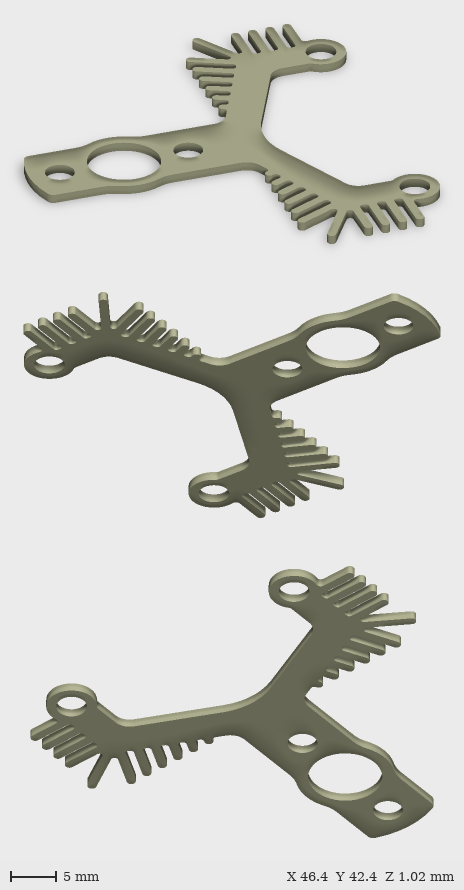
import cadquery as cq
import math

THICKNESS = 1.02
TOTAL_WIDTH = 46.39
TOTAL_LENGTH = 42.37

BORE_DIAMETER = 8.2
RING_DIAMETER = 11.0
STEM_WIDTH = 9.1
SCREW_HOLE_DIAMETER = 3.3
SCREW_HOLE_OFFSET = 7.5
STEM_END_FILLET = 0.8
RING_BLEND_RADIUS = 4.0

EYELET_X = 15.8
EYELET_Y = 28.5
EYELET_DIAMETER = 5.6
EYELET_HOLE_DIAMETER = 3.4
EYELET_FILLET = 0.5

ARM_WIDTH = 4.0
ARM_OUTER_X = 17.75
ARM_SLOPE = math.radians(25)
ARM_ELBOW_Y = 19.49
ELBOW_FILLET = 2.0
CROTCH_FILLET = 8.0
STEM_ARM_FILLET = 2.0

FINGER_WIDTH = 1.0
FINGER_PITCH = 2.0
FINGER_ROOT_FILLET = 0.4
SIDE_FINGER_COUNT = 4
SIDE_FINGER_TIP_X = 22.85
TOP_SIDE_FINGER_Y = 26.8
LOWER_FINGER_COUNT = 6
LOWER_FINGER_END_Y = 13.79
FIRST_LOWER_FINGER_TIP_X = 18.83
ELBOW_FINGER_ANGLE = math.radians(32)

POINT_TOLERANCE = 0.01

finger_radius = FINGER_WIDTH / 2
stem_half_width = STEM_WIDTH / 2
arm_inner_x = ARM_OUTER_X - ARM_WIDTH
stem_end_radius = TOTAL_LENGTH - EYELET_Y - EYELET_DIAMETER / 2
lower_tip_y = LOWER_FINGER_END_Y + finger_radius


def arm_lower_y(x):
    """Height of the sloping arm's lower edge on the left side (x <= 0)."""
    return ARM_ELBOW_Y - (x + ARM_OUTER_X) * math.tan(ARM_SLOPE)


def arm_upper_y(x):
    """Height of the sloping arm's upper edge on the left side (x <= 0)."""
    return arm_lower_y(x) + ARM_WIDTH / math.cos(ARM_SLOPE)


def tip_to_arm(tip_x):
    """Distance from a lower finger's tip centre to the sloping arm's lower edge."""
    return (arm_lower_y(tip_x) - lower_tip_y) * math.cos(ARM_SLOPE)


def disc(x, y, diameter):
    return cq.Workplane("XY").center(x, y).circle(diameter / 2).extrude(THICKNESS)


def finger(tip, root):
    """Straight finger with a round tip; both points lie on its centre line."""
    dx = root[0] - tip[0]
    dy = root[1] - tip[1]
    length = math.hypot(dx, dy)
    bar = (
        cq.Workplane("XY")
        .rect(length, FINGER_WIDTH)
        .extrude(THICKNESS)
        .translate((length / 2, 0, 0))
        .union(disc(0, 0, FINGER_WIDTH))
    )
    angle = math.degrees(math.atan2(dy, dx))
    return bar.rotate((0, 0, 0), (0, 0, 1), angle).translate((tip[0], tip[1], 0))


def fillet_corners(body, radius, is_corner):
    """Round the upright edges whose x, y position satisfies is_corner."""
    corners = body.edges("|Z").filter(lambda edge: is_corner(edge.Center().x, edge.Center().y))
    return corners.fillet(radius)


def arm_blank():
    """Left arm without fingers, reaching from the eyelet to the centre plane.

    The outer elbow is cut off between the roots of the two fingers beside the elbow
    finger, so that the notches there end where the finger sides meet.
    """
    last_side_finger_y = TOP_SIDE_FINGER_Y - (SIDE_FINGER_COUNT - 1) * FINGER_PITCH
    first_tip_x = -FIRST_LOWER_FINGER_TIP_X
    first_lower_root_x = first_tip_x + tip_to_arm(first_tip_x) * math.sin(ARM_SLOPE)
    bar = (
        cq.Workplane("XY")
        .polyline([
            (-ARM_OUTER_X, EYELET_Y),
            (-arm_inner_x, EYELET_Y),
            (-arm_inner_x, arm_upper_y(-arm_inner_x)),
            (0, arm_upper_y(0)),
            (0, arm_lower_y(0)),
            (first_lower_root_x, arm_lower_y(first_lower_root_x)),
            (-ARM_OUTER_X, last_side_finger_y + finger_radius),
        ])
        .close()
        .extrude(THICKNESS)
    )
    return bar.union(disc(-EYELET_X, EYELET_Y, EYELET_DIAMETER))


def add_side_fingers(arm):
    root_x = -ARM_OUTER_X + FINGER_WIDTH
    for index in range(SIDE_FINGER_COUNT):
        y = TOP_SIDE_FINGER_Y - index * FINGER_PITCH
        tip = (-SIDE_FINGER_TIP_X + finger_radius, y)
        arm = arm.union(finger(tip, (root_x, y)))
    return arm


def add_elbow_finger(arm):
    tip_x = -TOTAL_WIDTH / 2 + finger_radius
    tip_y = ARM_ELBOW_Y - (-ARM_OUTER_X - tip_x) * math.tan(ELBOW_FINGER_ANGLE)
    root_x = -ARM_OUTER_X + FINGER_WIDTH
    root_y = ARM_ELBOW_Y + FINGER_WIDTH * math.tan(ELBOW_FINGER_ANGLE)
    return arm.union(finger((tip_x, tip_y), (root_x, root_y)))


def add_lower_fingers(arm):
    """Fingers square to the sloping arm, with their tips on one level."""
    tip_spacing = FINGER_PITCH / math.cos(ARM_SLOPE)
    for index in range(LOWER_FINGER_COUNT):
        tip_x = -FIRST_LOWER_FINGER_TIP_X + index * tip_spacing
        length = tip_to_arm(tip_x) + FINGER_WIDTH
        root_x = tip_x + length * math.sin(ARM_SLOPE)
        root_y = lower_tip_y + length * math.cos(ARM_SLOPE)
        arm = arm.union(finger((tip_x, lower_tip_y), (root_x, root_y)))
    return arm


def is_finger_root(x, y):
    """True on the two arm edges that carry fingers, away from the arm's ends."""
    on_side = abs(x + ARM_OUTER_X) < POINT_TOLERANCE and y < TOP_SIDE_FINGER_Y
    on_slope = abs(y - arm_lower_y(x)) < POINT_TOLERANCE and x < -stem_half_width
    return on_side or on_slope


def is_elbow_notch(x, y):
    """True at the inner ends of the two notches beside the elbow finger."""
    near_elbow = math.hypot(x + ARM_OUTER_X, y - ARM_ELBOW_Y) < FINGER_WIDTH
    return near_elbow and not is_finger_root(x, y)


def is_eyelet_junction(x, y):
    """True where the eyelet rim meets the arm and the top finger."""
    on_rim = abs(math.hypot(x + EYELET_X, y - EYELET_Y) - EYELET_DIAMETER / 2) < POINT_TOLERANCE
    return on_rim and y < EYELET_Y - finger_radius


def is_inner_elbow(x, y):
    return math.hypot(x + arm_inner_x, y - arm_upper_y(-arm_inner_x)) < POINT_TOLERANCE


def left_arm():
    arm = add_lower_fingers(add_elbow_finger(add_side_fingers(arm_blank())))
    arm = fillet_corners(arm, FINGER_ROOT_FILLET, is_finger_root)
    arm = fillet_corners(arm, FINGER_ROOT_FILLET, is_elbow_notch)
    arm = fillet_corners(arm, EYELET_FILLET, is_eyelet_junction)
    return fillet_corners(arm, ELBOW_FILLET, is_inner_elbow)


def stem():
    """Straight stem with an end arc about the bore and a ring around the bore."""
    top_y = arm_upper_y(0)
    side_end_y = -math.sqrt(stem_end_radius**2 - stem_half_width**2)
    body = (
        cq.Workplane("XY")
        .moveTo(-stem_half_width, top_y)
        .lineTo(-stem_half_width, side_end_y)
        .threePointArc((0, -stem_end_radius), (stem_half_width, side_end_y))
        .lineTo(stem_half_width, top_y)
        .close()
        .extrude(THICKNESS)
    )
    body = fillet_corners(body, STEM_END_FILLET, lambda x, y: y < 0)
    body = body.union(disc(0, 0, RING_DIAMETER))

    def is_ring_junction(x, y):
        on_ring = abs(math.hypot(x, y) - RING_DIAMETER / 2) < POINT_TOLERANCE
        return on_ring and abs(abs(x) - stem_half_width) < POINT_TOLERANCE

    return fillet_corners(body, RING_BLEND_RADIUS, is_ring_junction)


def is_crotch(x, y):
    return math.hypot(x, y - arm_upper_y(0)) < POINT_TOLERANCE


def is_stem_arm_corner(x, y):
    corner_y = arm_lower_y(-stem_half_width)
    return math.hypot(abs(x) - stem_half_width, y - corner_y) < POINT_TOLERANCE


def cut_holes(body):
    body = body.cut(disc(0, 0, BORE_DIAMETER))
    for side in (-1, 1):
        body = body.cut(disc(0, side * SCREW_HOLE_OFFSET, SCREW_HOLE_DIAMETER))
        body = body.cut(disc(side * EYELET_X, EYELET_Y, EYELET_HOLE_DIAMETER))
    return body


arm = left_arm()
plate = arm.union(arm.mirror("YZ")).union(stem())
plate = fillet_corners(plate, CROTCH_FILLET, is_crotch)
plate = fillet_corners(plate, STEM_ARM_FILLET, is_stem_arm_corner)
result = cut_holes(plate)